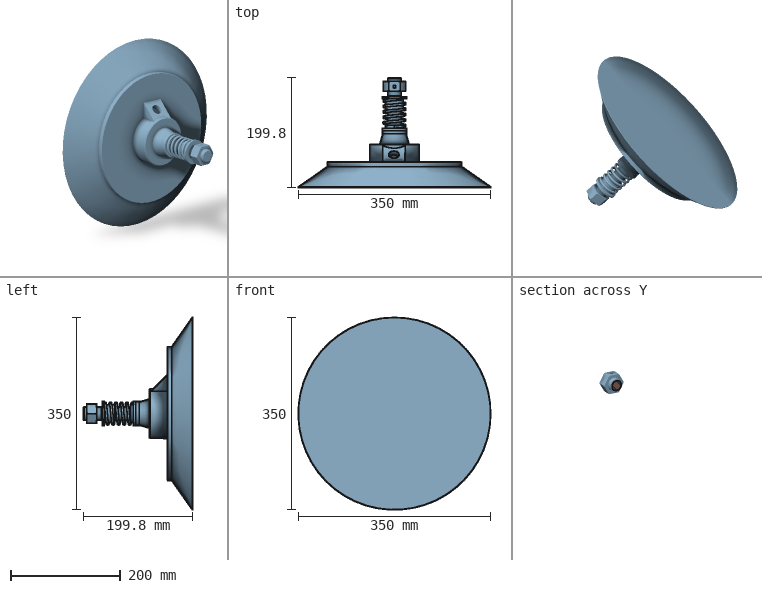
import cadquery as cq
import math


cup_diameter = 350.0
cup_rim_thickness = 1.0
cup_height = 38.0

plate_diameter = 244.0
plate_top = 46.5
plate_chamfer = 1.0
hub_diameter = 90.5
hub_top = 79.0
hub_chamfer = 1.7

boss_width = 40.2
boss_reach = 70.5
boss_slope = 45.0
boss_turn = -1.0
port_diameter = 18.5
port_depth = 10.0
port_height = 60.0

cone_base_diameter = 53.2
cone_top_diameter = 42.5
cone_top = 98.0
collar_diameter = 44.0
collar_top = 103.5

flange_diameter = 45.0
lower_flange_top = 108.0
sleeve_diameter = 33.0
lower_sleeve_top = 113.0
upper_sleeve_bottom = 141.7
upper_flange_bottom = 161.0
upper_flange_top = 164.8
rod_neck_diameter = 20.0
rod_neck_top = 166.5
rod_diameter = 25.0
rod_top = 199.8
rod_chamfer = 2.0

nut_flats = 35.7
nut_bottom = 175.0
nut_top = 193.0
nut_chamfer = 1.0
nut_hole_diameter = 5.2
nut_hole_depth = 4.2
nut_hole_height = 183.5

wire_diameter = 4.2
spring_diameter = 41.5
spring_turns = 5.1
spring_start = lower_flange_top + 0.45 * wire_diameter
spring_pitch = (upper_flange_bottom - spring_start) / spring_turns


def cross_plane(y):
    """Plane across the axis, with local x along +Z and local y along +X."""
    return cq.Plane(origin=(0, y, 0), xDir=(0, 0, 1), normal=(0, 1, 0))


def cylinder(diameter, bottom, top):
    return cq.Workplane(cross_plane(bottom)).circle(diameter / 2).extrude(top - bottom)


def cone(bottom_diameter, top_diameter, bottom, top):
    profile = [
        (0, bottom),
        (bottom_diameter / 2, bottom),
        (top_diameter / 2, top),
        (0, top),
    ]
    return cq.Workplane("XY").polyline(profile).close().revolve(360, (0, 0, 0), (0, 1, 0))


def make_cup():
    rim = cylinder(cup_diameter, 0, cup_rim_thickness)
    skirt = cone(cup_diameter, plate_diameter, cup_rim_thickness, cup_height)
    return rim.union(skirt)


def turn_boss(shape):
    """Small turn about the axis, shared by the boss and its port."""
    return shape.rotate((0, 0, 0), (0, 1, 0), boss_turn)


def make_port_boss():
    """Sloped block standing on the plate, turned slightly about the axis."""
    slope = math.radians(boss_slope)
    boss_top = plate_top + boss_reach * math.tan(slope)
    block = (
        cq.Workplane("YZ", origin=(-boss_width / 2, 0, 0))
        .polyline([(plate_top, 0), (plate_top, boss_reach), (boss_top, 0)])
        .close()
        .extrude(boss_width)
    )
    below_hub_top = cylinder(plate_diameter, plate_top, hub_top - hub_chamfer)
    return turn_boss(block.intersect(below_hub_top))


def make_port():
    """Blind round hole square to the boss slope."""
    slope = math.radians(boss_slope)
    port_z = boss_reach - (port_height - plate_top) / math.tan(slope)
    mouth = cq.Plane(
        origin=(0, port_height, port_z),
        xDir=(1, 0, 0),
        normal=(0, math.cos(slope), math.sin(slope)),
    )
    return turn_boss(cq.Workplane(mouth).circle(port_diameter / 2).extrude(-port_depth))


def make_base():
    plate = cylinder(plate_diameter, cup_height, plate_top).faces(">Y").chamfer(plate_chamfer)
    hub = cylinder(hub_diameter, plate_top, hub_top).faces(">Y").chamfer(hub_chamfer)
    return plate.union(hub).union(make_port_boss()).cut(make_port())


def make_nut():
    height = nut_top - nut_bottom
    corners = nut_flats / math.cos(math.pi / 6)
    hexagon = (
        cq.Workplane(cross_plane(nut_bottom))
        .transformed(rotate=(0, 0, 90))
        .polygon(6, corners)
        .extrude(height)
    )
    rounding = cylinder(corners, nut_bottom, nut_top).faces("<Y or >Y").chamfer(nut_chamfer)
    hole = (
        cq.Workplane("XY", origin=(0, nut_hole_height, nut_flats / 2))
        .circle(nut_hole_diameter / 2)
        .extrude(-nut_hole_depth)
    )
    return hexagon.intersect(rounding).cut(hole)


def make_spring():
    """Coil starting on the +Z side and winding toward +X as it rises along +Y."""
    coil_radius = (spring_diameter - wire_diameter) / 2
    path = cq.Wire.makeHelix(spring_pitch, spring_pitch * spring_turns, coil_radius)
    coil = (
        cq.Workplane("XZ", origin=(coil_radius, 0, 0))
        .circle(wire_diameter / 2)
        .sweep(cq.Workplane(obj=path), isFrenet=True)
    )
    return cq.Workplane(obj=coil.val().moved(cq.Location(cross_plane(spring_start))))


def make_stem():
    rod_end = cylinder(rod_diameter, rod_neck_top, rod_top).faces(">Y").chamfer(rod_chamfer)
    sections = [
        cone(cone_base_diameter, cone_top_diameter, hub_top, cone_top),
        cylinder(collar_diameter, cone_top, collar_top),
        cylinder(flange_diameter, collar_top, lower_flange_top),
        cylinder(sleeve_diameter, lower_flange_top, lower_sleeve_top),
        cylinder(rod_diameter, lower_sleeve_top, upper_sleeve_bottom),
        cylinder(sleeve_diameter, upper_sleeve_bottom, upper_flange_bottom),
        cylinder(flange_diameter, upper_flange_bottom, upper_flange_top),
        cylinder(rod_neck_diameter, upper_flange_top, rod_neck_top),
        rod_end,
    ]
    stem = sections[0]
    for section in sections[1:]:
        stem = stem.union(section)
    return stem


def make_holder():
    return make_base().union(make_stem()).union(make_nut()).union(make_spring())


cup = make_cup()
holder = make_holder()

result = cq.Compound.makeCompound([cup.val(), *holder.solids().vals()])